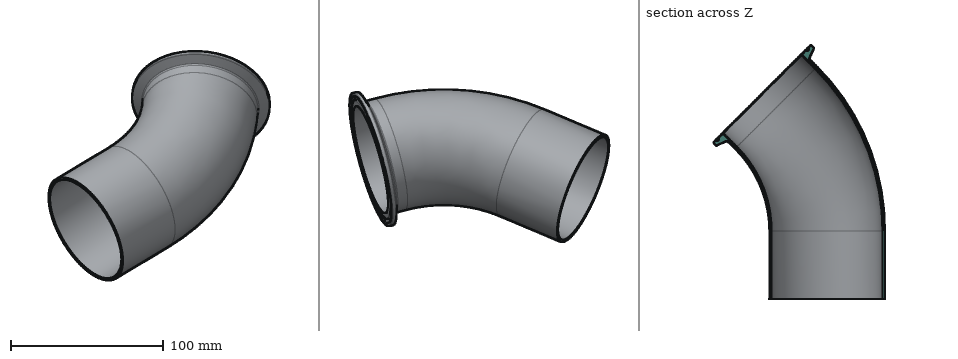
import cadquery as cq
import math

tube_radius = 76.2 / 2
bore_radius = 72.9 / 2
tangent_length = 44.7
bend_radius = 114.4
bend_angle = 45

rim_radius = 90.9 / 2
ferrule_length = 13.0
rim_thickness = 3.0
cone_angle = 20
rim_fillet = 0.5
neck_fillet = 1.0

groove_radius = 41.8
groove_width = 2.8
groove_depth = 1.2
groove_edge_fillet = 0.5


def tube_section():
    """Ring section at the start of the bend, square to the Y axis."""
    return (
        cq.Workplane("XZ", origin=(0, tangent_length, 0))
        .circle(tube_radius)
        .circle(bore_radius)
    )


def make_tangent():
    """Straight tube from Y = 0 up to the bend."""
    return tube_section().extrude(tangent_length)


def make_bend():
    """Curved tube turning from +Y towards -X."""
    return tube_section().revolve(bend_angle, (-bend_radius, 0, 0), (-bend_radius, 1, 0))


def revolve_about_y(profile):
    """Full turn of a closed XY profile about the Y axis."""
    return profile.revolve(360, (0, 0, 0), (0, 1, 0))


def make_ferrule_body():
    """Flared sleeve along +Y, with its weld end at the origin and a rounded rim and neck."""
    cone_length = (rim_radius - tube_radius) * math.tan(math.radians(cone_angle))
    rim_back = ferrule_length - rim_thickness
    neck_end = rim_back - cone_length
    body = revolve_about_y(
        cq.Workplane("XY")
        .moveTo(bore_radius, 0)
        .lineTo(tube_radius, 0)
        .lineTo(tube_radius, neck_end)
        .lineTo(rim_radius, rim_back)
        .lineTo(rim_radius, ferrule_length)
        .lineTo(bore_radius, ferrule_length)
        .close()
    )
    neck_edge = cq.selectors.RadiusNthSelector(1) - cq.selectors.StringSyntaxSelector("<Y")
    rim_edges = cq.selectors.RadiusNthSelector(-1)
    body = body.edges(neck_edge).fillet(neck_fillet)
    return body.edges(rim_edges).fillet(rim_fillet)


def is_groove_edge(edge):
    """True for the two circles where the groove breaks through the face."""
    return edge.geomType() == "CIRCLE" and abs(edge.radius() - groove_radius) < groove_width


def cut_gasket_groove(body):
    """Round-bottomed ring groove with softened edges."""
    groove = revolve_about_y(
        cq.Workplane("XY")
        .moveTo(groove_radius - groove_width / 2, ferrule_length)
        .threePointArc(
            (groove_radius, ferrule_length - groove_depth),
            (groove_radius + groove_width / 2, ferrule_length),
        )
        .close()
    )
    return body.cut(groove).edges().filter(is_groove_edge).fillet(groove_edge_fillet)


def place_at_bend_end(ferrule):
    """Turn the ferrule to the bend angle and move it to the end of the bend."""
    angle = math.radians(bend_angle)
    end_x = -bend_radius * (1 - math.cos(angle))
    end_y = tangent_length + bend_radius * math.sin(angle)
    return ferrule.rotate((0, 0, 0), (0, 0, 1), bend_angle).translate((end_x, end_y, 0))


ferrule = place_at_bend_end(cut_gasket_groove(make_ferrule_body()))
result = make_tangent().union(make_bend()).union(ferrule)